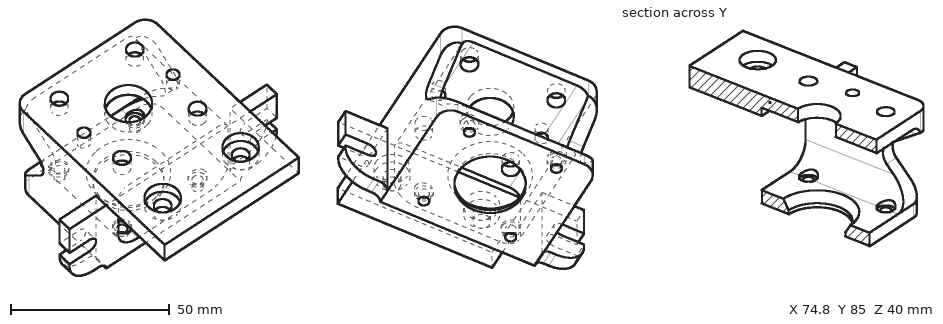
import cadquery as cq

plate_length = 74.8
width = 55.0
height = 40.0
plate_thickness = 8.0
plate_bottom = height - plate_thickness
corner_radius = 5.0

housing_front = 2.7
housing_back = 45.9
housing_floor = 5.0
roof_thickness = 5.0
wall = 5.0
cavity_width = width - 2 * wall
cavity_top = height - roof_thickness
cavity_lower_radius = 8.0
cavity_upper_radius = 4.0

notch_tip_x = 17.8
notch_radius = 5.0

ear_span = 85
ear_thickness = 5.0
ear_front = housing_back - ear_thickness
ear_bottom = 3.1
ear_corner_radius = 10.0
ear_root_radius = ear_bottom
slot_width = 5.7
slot_depth = 10.9
slot_z = 17.1

motor_x = 23.8
screw_half_pitch = 15.5
shaft_diameter = 15.0
pilot_diameter = 22.5
pilot_mouth_diameter = 26.7
pilot_taper_depth = 3.5
screw_diameter = 3.5
screw_head_diameter = 6.0
screw_head_depth = 1.0
driver_access_diameter = 5.6
side_hole_diameter = 4.2
side_hole_y = 18.3

plate_screw_x = 59.9
plate_screw_y = 16.0
plate_screw_diameter = 5.6
plate_screw_head_diameter = 11.5
plate_screw_head_depth = 4.0


def box(x_min, x_max, y_size, z_min, z_max):
    """Block centred on Y = 0."""
    size = (x_max - x_min, y_size, z_max - z_min)
    return cq.Workplane("XY").box(*size, centered=(False, True, False)).translate((x_min, 0, z_min))


def cylinders(points, diameter, z_min, z_max):
    """Vertical cylinders at the given XY points."""
    return (
        cq.Workplane("XY", origin=(0, 0, z_min))
        .pushPoints(points)
        .circle(diameter / 2)
        .extrude(z_max - z_min)
    )


def make_body():
    """Plate and solid housing, each half with rounded front corners."""
    plate = box(0, plate_length, width, plate_bottom, height)
    upper = plate.union(box(0, housing_back, width, height / 2, height))
    upper = upper.edges("|Z and <X").fillet(corner_radius)
    lower = box(housing_front, housing_back, width, 0, height / 2)
    lower = lower.edges("|Z and <X").fillet(corner_radius)
    return upper.union(lower)


def make_cavity():
    cavity = box(0, housing_back, cavity_width, housing_floor, cavity_top)
    cavity = cavity.edges("|X and <Z").fillet(cavity_lower_radius)
    return cavity.edges("|X and >Z").fillet(cavity_upper_radius)


def make_notch():
    tip_z = housing_floor + notch_tip_x - housing_front
    outline = [
        (housing_front, housing_floor),
        (notch_tip_x, tip_z),
        (0, plate_bottom),
        (-corner_radius, plate_bottom),
        (-corner_radius, housing_floor),
    ]
    notch = cq.Workplane("XZ").polyline(outline).close().extrude(width / 2, both=True)
    return notch.edges("|Y and >X").fillet(notch_radius)


def make_ears():
    """One wide slotted plate; its middle is later opened by the cavity."""
    half_span = ear_span / 2
    half_width = width / 2
    ears = box(ear_front, housing_back, ear_span, ear_bottom, plate_bottom)
    ears = ears.edges("|X and <Z").fillet(ear_corner_radius)
    for side in (-1, 1):
        root = (
            cq.Workplane("YZ", origin=(ear_front, 0, 0))
            .moveTo(side * half_width, 0)
            .lineTo(side * half_width, ear_bottom)
            .lineTo(side * (half_width + ear_root_radius), ear_bottom)
            .radiusArc((side * half_width, 0), -side * ear_root_radius)
            .close()
            .extrude(ear_thickness)
        )
        slot = (
            cq.Workplane("YZ", origin=(ear_front, 0, 0))
            .center(side * half_span, slot_z)
            .slot2D(2 * slot_depth, slot_width)
            .extrude(ear_thickness)
        )
        ears = ears.union(root).cut(slot)
    return ears


def cut_motor_holes(part):
    centre = [(motor_x, 0)]
    screws = [
        (motor_x + i * screw_half_pitch, j * screw_half_pitch) for i in (-1, 1) for j in (-1, 1)
    ]
    side_holes = [(motor_x, j * side_hole_y) for j in (-1, 1)]
    middle = height / 2
    part = part.cut(cylinders(centre, shaft_diameter, middle, height))
    part = part.cut(cylinders(screws, driver_access_diameter, middle, height))
    part = part.cut(cylinders(side_holes, side_hole_diameter, middle, height))
    part = part.cut(cylinders(centre, pilot_diameter, 0, housing_floor))
    pilot_taper = (
        cq.Workplane("XY", origin=(motor_x, 0, housing_floor - pilot_taper_depth))
        .circle(pilot_diameter / 2)
        .workplane(offset=pilot_taper_depth)
        .circle(pilot_mouth_diameter / 2)
        .loft(ruled=True)
    )
    part = part.cut(pilot_taper)
    part = part.cut(cylinders(screws, screw_diameter, 0, middle))
    head_seat = housing_floor - screw_head_depth
    return part.cut(cylinders(screws, screw_head_diameter, head_seat, middle))


def cut_plate_screws(part):
    screws = [(plate_screw_x, j * plate_screw_y) for j in (-1, 1)]
    part = part.cut(cylinders(screws, plate_screw_diameter, plate_bottom, height))
    head_seat = height - plate_screw_head_depth
    return part.cut(cylinders(screws, plate_screw_head_diameter, head_seat, height))


body = make_body().cut(make_notch())
body = body.union(make_ears()).cut(make_cavity())
result = cut_plate_screws(cut_motor_holes(body))